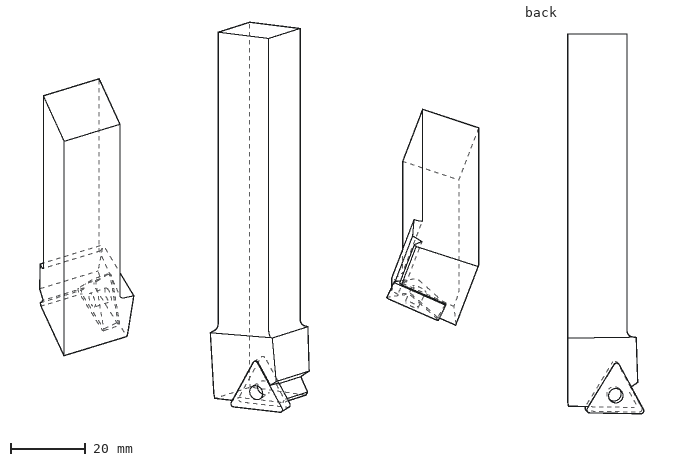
import cadquery as cq
import math

shank_side = 15.9
top_z = 101.4

fillet_top_z = 22.1
fillet_radius = 1.5
ledge_drop_angle = 8.0
ledge_drop = math.radians(ledge_drop_angle)
fillet_width = fillet_radius * (1 - math.sin(ledge_drop))
fillet_height = fillet_radius * math.cos(ledge_drop)
ledge_z = fillet_top_z - fillet_height

head_top_x = -2.4
head_lip_x = -2.8
head_lip_z = 8.4
notch_x = -0.2
notch_z = 6.6
heel_x = -2.3
heel_z = 2.6
sole_x = -1.8
sole_z = 1.7
sole_angle = 1.0
corner_setback = 0.2
corner_z = 3.2

seat_angle = 6.0
seat_slope = math.tan(math.radians(seat_angle))
seat_peak_y = 19.9
blank_y = 25.3

insert_thickness = 4.8
insert_inscribed_diameter = 9.5
insert_nose_radius = 0.8
insert_hole_diameter = 3.9
insert_proud = 0.4
insert_center_x = 3.0
insert_center_z = 4.9


def ledge_z_at(run):
    """Height of the ledge at a distance outside the shank face."""
    return ledge_z - (run - fillet_width) * math.tan(ledge_drop)


seat_peak_z = ledge_z_at(seat_peak_y - shank_side)


def seat_y(x, z):
    """Y of the tilted head face at a given X and Z."""
    return seat_peak_y + seat_slope * (x - shank_side) + seat_slope * (z - seat_peak_z)


def fillet_middle():
    """Outward run and height of a point halfway along the concave fillet."""
    half_sweep = math.radians(90 - ledge_drop_angle) / 2
    run = fillet_radius * (1 - math.cos(half_sweep))
    height = fillet_top_z - fillet_radius * math.sin(half_sweep)
    return run, height


def insert_plane():
    """Plane of the insert's outer face, parallel to the head face and turned to follow the sole."""
    normal = cq.Vector(-seat_slope, 1, -seat_slope)
    rise = math.tan(math.radians(sole_angle))
    along_sole = cq.Vector(1, seat_slope * (1 + rise), rise)
    center_y = seat_y(insert_center_x, insert_center_z) + insert_proud * normal.Length
    return cq.Plane(
        origin=(insert_center_x, center_y, insert_center_z),
        xDir=along_sole,
        normal=normal,
    )


def make_head_blank():
    """Outline of the whole holder, with the ledge on its -X side, extruded along Y."""
    run, middle_z = fillet_middle()
    sole_end_x = shank_side - corner_setback
    sole_end_z = sole_z + (sole_end_x - sole_x) * math.tan(math.radians(sole_angle))
    return (
        cq.Workplane("XZ")
        .moveTo(shank_side, top_z)
        .lineTo(0, top_z)
        .lineTo(0, fillet_top_z)
        .threePointArc((-run, middle_z), (-fillet_width, ledge_z))
        .lineTo(head_top_x, ledge_z_at(-head_top_x))
        .lineTo(head_lip_x, head_lip_z)
        .lineTo(notch_x, notch_z)
        .lineTo(heel_x, heel_z)
        .lineTo(sole_x, sole_z)
        .lineTo(sole_end_x, sole_end_z)
        .lineTo(shank_side, corner_z)
        .close()
        .extrude(-blank_y)
    )


def make_side_envelope():
    """Side outline with the ledge on the +Y side, extruded along X past the head."""
    run, middle_z = fillet_middle()
    return (
        cq.Workplane("YZ", origin=(head_lip_x, 0, 0))
        .moveTo(0, 0)
        .lineTo(0, top_z)
        .lineTo(shank_side, top_z)
        .lineTo(shank_side, fillet_top_z)
        .threePointArc((shank_side + run, middle_z), (shank_side + fillet_width, ledge_z))
        .lineTo(blank_y, ledge_z_at(blank_y - shank_side))
        .lineTo(blank_y, 0)
        .close()
        .extrude(shank_side - head_lip_x)
    )


def make_seat_trim():
    """Block beyond the tilted head face, wide enough to clear the head and short of the shank."""
    seat_plane = cq.Plane(
        origin=(shank_side, seat_peak_y, seat_peak_z),
        xDir=(1, seat_slope, 0),
        normal=(-seat_slope, 1, -seat_slope),
    )
    trim_size = 4 * blank_y
    return cq.Workplane(seat_plane).rect(trim_size, trim_size).extrude(blank_y)


def make_insert_blank():
    """Triangular plate with rounded noses, without its hole."""
    plane = insert_plane()
    corner_distance = insert_inscribed_diameter
    corners = []
    for angle in (-90, 30, 150):
        turn = math.radians(angle)
        corners.append((corner_distance * math.cos(turn), corner_distance * math.sin(turn)))
    return (
        cq.Workplane(plane)
        .polyline(corners)
        .close()
        .extrude(-insert_thickness)
        .edges(cq.selectors.ParallelDirSelector(plane.zDir))
        .fillet(insert_nose_radius)
    )


def make_insert():
    """Insert plate with its central through hole."""
    hole = (
        cq.Workplane(insert_plane())
        .circle(insert_hole_diameter / 2)
        .extrude(-insert_thickness)
    )
    return make_insert_blank().cut(hole)


def make_holder():
    """Shank and head in one piece, with the pocket for the insert."""
    body = make_head_blank().intersect(make_side_envelope())
    return body.cut(make_seat_trim()).cut(make_insert_blank())


holder = make_holder()
insert = make_insert()
result = cq.Compound.makeCompound([holder.val(), insert.val()])